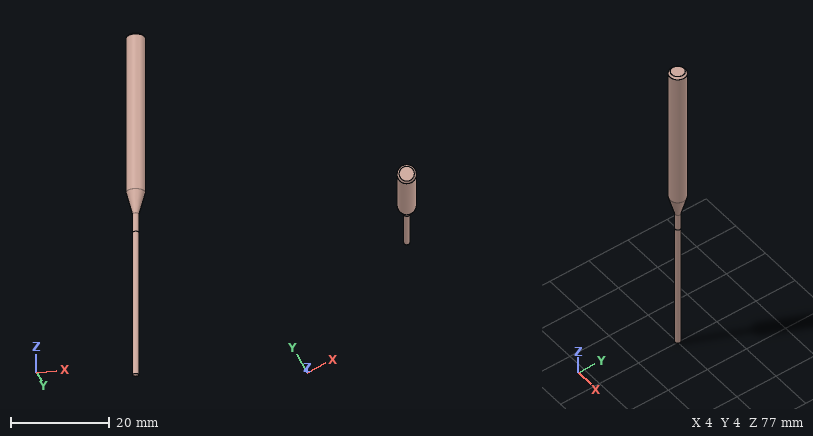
import cadquery as cq

total_length = 77.0
shank_radius = 2.0
shank_chamfer = 0.5
neck_radius = 0.7

tip_height = 0.4
joint_height = 32.6
cone_bottom_height = 36.7
cone_top_height = 41.6


def make_cutter():
    """Slender round cutter with a conical tip, ending flat at the joint."""
    profile = (
        cq.Workplane("XZ")
        .moveTo(0, 0)
        .lineTo(neck_radius, tip_height)
        .lineTo(neck_radius, joint_height)
        .lineTo(0, joint_height)
        .close()
    )
    return profile.revolve(360, (0, 0), (0, 1))


def make_shank():
    """Chamfered shank that tapers to a neck, seated on the end of the cutter."""
    profile = (
        cq.Workplane("XZ")
        .moveTo(0, joint_height)
        .lineTo(neck_radius, joint_height)
        .lineTo(neck_radius, cone_bottom_height)
        .lineTo(shank_radius, cone_top_height)
        .lineTo(shank_radius, total_length - shank_chamfer)
        .lineTo(shank_radius - shank_chamfer, total_length)
        .lineTo(0, total_length)
        .close()
    )
    return profile.revolve(360, (0, 0), (0, 1))


cutter = make_cutter()
shank = make_shank()

result = cq.Compound.makeCompound([cutter.val(), shank.val()])